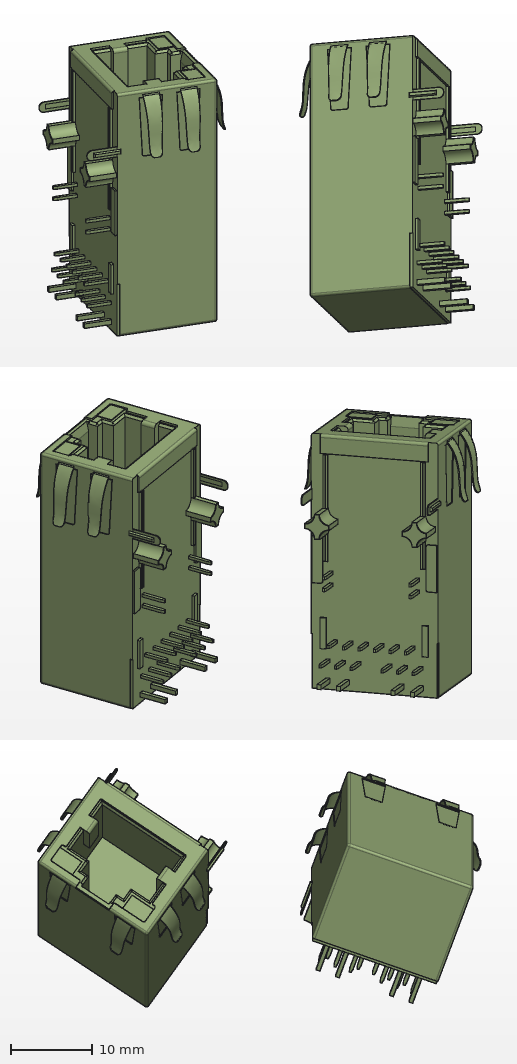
import cadquery as cq
import math


WIDTH = 16.5
DEPTH = 13.25
HEIGHT = 32.5
HALF_WIDTH = WIDTH / 2
BEND_RADIUS = 0.32
SHEET = 0.13

OPENING_DEPTH = 0.25
HOUSING_TOP = HEIGHT - OPENING_DEPTH
OPENING_HALF_WIDTH = 6.45
OPENING_BOTTOM = 2.08
LAMP_BOTTOM = 9.62
LAMP_TOP = 12.12
LAMP_OUTER = 7.02
LATCH_HALF_WIDTH = 2.5
OPENING_CORNER = 0.2

LAMP_SIZE = (3.25, 2.08)
LAMP_RISE = 0.1

CAVITY_DEPTH = 14.62
CAVITY_BOTTOM = 2.5
CAVITY_STEPS = [(5.9, 9.4), (3.15, 11.02), (2.05, 12.32)]
LEAD_IN = 0.3
LEAD_IN_ANGLE = 45
LATCH_RAMP_HEIGHT = 1.3
LATCH_RAMP_TOP = 12.6

TAB_LEVELS = (4.6, 6.55)
TAB_INNER = 5.0
TAB_BEND = 0.5
TAB_LENGTH = 6.5

FLAP_HALF_WIDTH = 7.02
FLAP_PROUD = 0.25
FLAP_HEIGHT = 2.45
FLAP_RADIUS = 0.4
FLAP_SEAT = 0.65

SPRING_REACH = 2.2
SPRING_TIP = 24.2
SPRING_ROOT = 32.1
SPRING_BENDS = [(0.65, 30.8), (1.27, 29.15), (1.5, 27.27), (1.62, 25.45)]
SPRING_THICKNESS = (0.13, 0.05)
SPRING_ROOT_WIDTH = 2.25
SPRING_TIP_WIDTH = 1.53
SPRING_TIP_RADIUS = 0.65
SIDE_SPRING_LEVELS = (4.45, 9.42)
BACK_SPRING_X = 4.85
WINDOW_TOP = 31.55
WINDOW_BOTTOM = 23.7
WINDOW_TOP_WIDTH = 3.05
WINDOW_BOTTOM_WIDTH = 2.2
WINDOW_CORNER = 0.25

LOCK_TIP = -4.0
LOCK_ROOT = 0.32
LOCK_Z = 24.8
LOCK_WIDTH = 1.35
LOCK_TIP_RADIUS = 0.65
RIDGE_ENDS = (-3.12, 0.45)
RIDGE_WIDTH = 0.62
RIDGE_RISE = 0.25
RIDGE_TAPER = 25

PEG_X = 6.35
PEG_Z = 21.55
PEG_REACH = 1.6
PEG_TIP_HALF = 0.32
PEG_LENGTH = 3.58
PEG_CHAMFER = 0.05
RIB_PROUD = 0.35
RIB_WIDTH = 0.25
RIB_OFFSET = 0.15
RIB_Z = (16.4, 29.95)
PAD_INNER = 6.73
PAD_Z = (13.55, 19.53)
PAD_CORNER = 0.25
FOOT_X = (6.25, 7.02)
FOOT_Z = (5.3, 9.23)

SKIRT_HEIGHT = 7.02
SKIRT_DEPTH = 0.35
SKIRT_BOTTOM = 0.1

PIN_WIDTH = 0.45
PIN_HEIGHT = 0.4
PIN_LENGTH = 3.15
PIN_TAPER_LENGTH = 0.5
PIN_TIP_WIDTH = 0.25
PIN_PITCH = 2.0
PAIR_PIN_X = 5.62
PIN_ROWS = [
    (14.98, [PAIR_PIN_X]),
    (13.5, [PAIR_PIN_X]),
    (6.3, [0.5 * PIN_PITCH, 1.5 * PIN_PITCH, 2.5 * PIN_PITCH]),
    (3.77, [PIN_PITCH, 2 * PIN_PITCH, 3 * PIN_PITCH]),
]
SHIELD_PIN_SIZE = (0.52, 0.62)
SHIELD_PIN_LENGTH = 3.58
SHIELD_PIN_Z = 1.25
SHIELD_PIN_X = (3.55, 6.08)
PIN_ROOT = 0.32


def box(x, y, z):
    """Box between the given (low, high) limits."""
    return (
        cq.Workplane("XY")
        .box(x[1] - x[0], y[1] - y[0], z[1] - z[0], centered=False)
        .translate((x[0], y[0], z[0]))
    )


def both_sides(shape):
    """The shape together with its mirror image across x = 0."""
    return shape.union(shape.mirror("YZ"))


def mirrored_outline(right_half):
    """Closed outline from its right half, listed from bottom to top."""
    return right_half + [(-x, y) for x, y in reversed(right_half)]


def body():
    block = box((-HALF_WIDTH, HALF_WIDTH), (0, DEPTH), (0, HEIGHT))
    return block.edges("not <Y").fillet(BEND_RADIUS)


def skirt_step():
    side = box((HALF_WIDTH - SHEET, HALF_WIDTH), (0, SKIRT_DEPTH), (0, SKIRT_HEIGHT))
    end = box((0, HALF_WIDTH), (0, SKIRT_DEPTH), (0, SKIRT_BOTTOM))
    return both_sides(side.union(end))


def opening():
    outline = mirrored_outline([
        (OPENING_HALF_WIDTH, OPENING_BOTTOM),
        (OPENING_HALF_WIDTH, LAMP_BOTTOM),
        (LAMP_OUTER, LAMP_BOTTOM),
        (LAMP_OUTER, LAMP_TOP),
        (LATCH_HALF_WIDTH, LAMP_TOP),
        (LATCH_HALF_WIDTH, DEPTH + 2 * OPENING_CORNER),
    ])
    top = cq.Workplane("XY", origin=(0, 0, HOUSING_TOP))
    window = top.polyline(outline).close().extrude(OPENING_DEPTH).edges("|Z").fillet(OPENING_CORNER)
    back_relief = box(
        (-LATCH_HALF_WIDTH, LATCH_HALF_WIDTH),
        (DEPTH - SHEET, DEPTH),
        (HEIGHT - BEND_RADIUS, HEIGHT),
    )
    return window.union(back_relief)


def cavity_outline(margin):
    half = [(CAVITY_STEPS[0][0] + margin, CAVITY_BOTTOM - margin)]
    for index, (half_width, level) in enumerate(CAVITY_STEPS):
        half.append((half_width + margin, level + margin))
        if index + 1 < len(CAVITY_STEPS):
            half.append((CAVITY_STEPS[index + 1][0] + margin, level + margin))
    return mirrored_outline(half)


def cavity():
    mouth = cq.Workplane("XY", origin=(0, 0, HOUSING_TOP))
    latch_half, latch_top = CAVITY_STEPS[-1]
    bore = mouth.polyline(cavity_outline(0)).close().extrude(-CAVITY_DEPTH)
    lead_in = mouth.polyline(cavity_outline(LEAD_IN)).close().extrude(-LEAD_IN, taper=LEAD_IN_ANGLE)
    above_latch = box((-WIDTH, WIDTH), (latch_top, DEPTH), (0, HEIGHT))
    ramp = (
        cq.Workplane("YZ")
        .polyline([
            (latch_top - LEAD_IN, HOUSING_TOP),
            (LATCH_RAMP_TOP, HOUSING_TOP),
            (latch_top, HOUSING_TOP - LATCH_RAMP_HEIGHT),
            (latch_top - LEAD_IN, HOUSING_TOP - LATCH_RAMP_HEIGHT),
        ])
        .close()
        .extrude(latch_half, both=True)
    )
    return bore.union(lead_in.cut(above_latch)).union(ramp)


def lamps():
    return both_sides(box(
        (LAMP_OUTER - LAMP_SIZE[0], LAMP_OUTER),
        (LAMP_TOP - LAMP_SIZE[1], LAMP_TOP),
        (HOUSING_TOP, HOUSING_TOP + LAMP_RISE),
    ))


def contact_tabs():
    tab = box((TAB_INNER, OPENING_HALF_WIDTH), TAB_LEVELS, (HEIGHT - TAB_LENGTH, HEIGHT))
    return both_sides(tab.edges("|Y and <X and >Z").fillet(TAB_BEND))


def mouth_flap():
    flap = box(
        (-FLAP_HALF_WIDTH, FLAP_HALF_WIDTH),
        (-FLAP_PROUD, FLAP_SEAT),
        (HEIGHT - FLAP_HEIGHT, HEIGHT),
    )
    return flap.edges("|X and <Y and >Z").fillet(FLAP_RADIUS)


def mouth_flap_seat():
    return box(
        (-FLAP_HALF_WIDTH, FLAP_HALF_WIDTH),
        (0, FLAP_SEAT),
        (HEIGHT - FLAP_HEIGHT, HEIGHT),
    )


def tapered_prism(top, bottom, top_width, bottom_width, corner, reach):
    """Prism along +X from x = -reach to x = reach, narrowing downwards."""
    prism = (
        cq.Workplane("YZ")
        .polyline([
            (-top_width / 2, top),
            (top_width / 2, top),
            (bottom_width / 2, bottom),
            (-bottom_width / 2, bottom),
        ])
        .close()
        .extrude(reach, both=True)
    )
    return prism.edges("|X and <Z").fillet(corner)


def spring():
    """Finger bowing out of a wall at x = 0 towards +X."""
    across, up = SPRING_THICKNESS
    tip = (SPRING_REACH - across, SPRING_TIP)
    inner = [(-BEND_RADIUS, SPRING_ROOT), *SPRING_BENDS, tip]
    outer = [(x + across, z + up) for x, z in reversed(inner)]
    ribbon = (
        cq.Workplane("XZ", origin=(0, SPRING_ROOT_WIDTH / 2, 0))
        .spline(inner)
        .lineTo(*outer[0])
        .spline(outer[1:], includeCurrent=True)
        .close()
        .extrude(SPRING_ROOT_WIDTH)
    )
    plan = tapered_prism(
        HEIGHT, SPRING_TIP, SPRING_ROOT_WIDTH, SPRING_TIP_WIDTH, SPRING_TIP_RADIUS, 2 * SPRING_REACH
    )
    return ribbon.intersect(plan)


def spring_window():
    return tapered_prism(
        WINDOW_TOP, WINDOW_BOTTOM, WINDOW_TOP_WIDTH, WINDOW_BOTTOM_WIDTH, WINDOW_CORNER, SHEET
    )


def at_spring_places(shape):
    """Copies of a +X facing shape at both side walls and the back wall."""
    placed = cq.Workplane("XY")
    for level in SIDE_SPRING_LEVELS:
        placed = placed.union(both_sides(shape.translate((HALF_WIDTH, level, 0))))
    facing_back = shape.rotate((0, 0, 0), (0, 0, 1), 90)
    return placed.union(both_sides(facing_back.translate((BACK_SPRING_X, DEPTH, 0))))


def board_locks():
    blade = box(
        (HALF_WIDTH - SHEET, HALF_WIDTH),
        (LOCK_TIP, LOCK_ROOT),
        (LOCK_Z - LOCK_WIDTH / 2, LOCK_Z + LOCK_WIDTH / 2),
    )
    blade = blade.edges("|X and <Y").fillet(LOCK_TIP_RADIUS)
    ridge = (
        cq.Workplane("YZ", origin=(HALF_WIDTH, 0, 0))
        .center(sum(RIDGE_ENDS) / 2, LOCK_Z)
        .rect(RIDGE_ENDS[1] - RIDGE_ENDS[0], RIDGE_WIDTH)
        .extrude(RIDGE_RISE, taper=RIDGE_TAPER)
    )
    return both_sides(blade.union(ridge))


def pegs():
    """Four-pointed star posts with hollow flanks."""
    waist = PEG_REACH - (PEG_REACH - PEG_TIP_HALF) / math.sqrt(2)
    star = (
        cq.Workplane("XZ")
        .moveTo(PEG_TIP_HALF, PEG_REACH)
        .threePointArc((waist, waist), (PEG_REACH, PEG_TIP_HALF))
        .lineTo(PEG_REACH, -PEG_TIP_HALF)
        .threePointArc((waist, -waist), (PEG_TIP_HALF, -PEG_REACH))
        .lineTo(-PEG_TIP_HALF, -PEG_REACH)
        .threePointArc((-waist, -waist), (-PEG_REACH, -PEG_TIP_HALF))
        .lineTo(-PEG_REACH, PEG_TIP_HALF)
        .threePointArc((-waist, waist), (-PEG_TIP_HALF, PEG_REACH))
        .close()
        .extrude(PEG_LENGTH)
        .faces("<Y")
        .chamfer(PEG_CHAMFER)
    )
    return both_sides(star.translate((PEG_X, 0, PEG_Z)))


def ribs():
    pair = cq.Workplane("XY")
    for offset in (-RIB_OFFSET, RIB_OFFSET):
        middle = PEG_X + offset
        limits = (middle - RIB_WIDTH / 2, middle + RIB_WIDTH / 2)
        pair = pair.union(box(limits, (-RIB_PROUD, 0), RIB_Z))
    return both_sides(pair)


def corner_pads():
    pad = box((PAD_INNER, HALF_WIDTH - SHEET), (-FLAP_PROUD, 0), PAD_Z)
    return both_sides(pad.edges("|Y and <X").fillet(PAD_CORNER))


def feet():
    return both_sides(box(FOOT_X, (-RIB_PROUD, 0), FOOT_Z))


def pin(x, z):
    """Rectangular pin narrowing to its tip."""
    half = PIN_WIDTH / 2
    shoulder = PIN_TAPER_LENGTH - PIN_LENGTH
    outline = mirrored_outline([
        (PIN_TIP_WIDTH / 2, -PIN_LENGTH),
        (half, shoulder),
        (half, PIN_ROOT),
    ])
    shape = cq.Workplane("XY").polyline(outline).close().extrude(PIN_HEIGHT / 2, both=True)
    return shape.translate((x, 0, z))


def pins():
    placed = cq.Workplane("XY")
    for z, columns in PIN_ROWS:
        for x in columns:
            placed = placed.union(pin(x, z))
    width, height = SHIELD_PIN_SIZE
    for x in SHIELD_PIN_X:
        placed = placed.union(box(
            (x - width / 2, x + width / 2),
            (-SHIELD_PIN_LENGTH, PIN_ROOT),
            (SHIELD_PIN_Z - height / 2, SHIELD_PIN_Z + height / 2),
        ))
    return both_sides(placed)


shell = body().cut(skirt_step()).cut(mouth_flap_seat()).cut(opening()).cut(cavity())
shell = shell.cut(at_spring_places(spring_window()))

result = shell
for feature in (
    mouth_flap(), lamps(), contact_tabs(), at_spring_places(spring()), board_locks(),
    ribs(), pegs(), corner_pads(), feet(), pins(),
):
    result = result.union(feature)